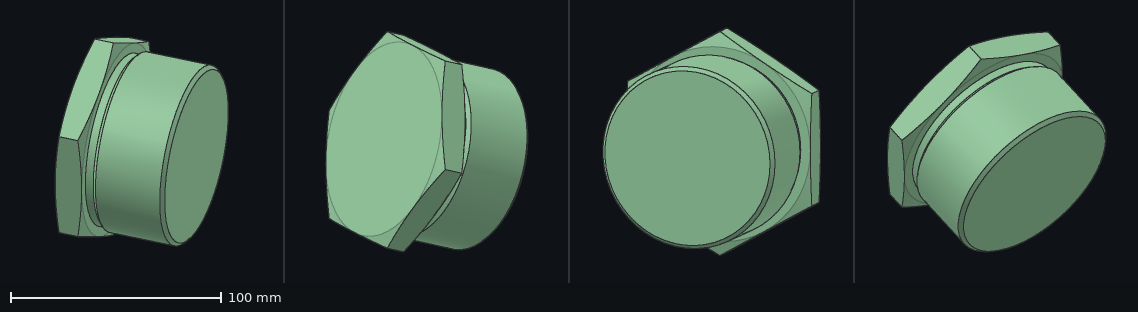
import cadquery as cq
import math

total_length = 54.0
corner_diameter = 108.5

head_thickness = 13.6
head_chamfer_angle = 15.0

shank_diameter = 87.9
shank_chamfer = 1.8
neck_length = 4.0
neck_diameter = shank_diameter - 2 * shank_chamfer

flat_diameter = corner_diameter * math.cos(math.pi / 6)


def make_head():
    """Hexagon prism with the corners of both faces turned down to a shallow cone."""
    prism = (
        cq.Workplane("YZ")
        .polygon(6, corner_diameter)
        .extrude(head_thickness)
        .rotate((0, 0, 0), (1, 0, 0), 90)
    )
    face_radius = flat_diameter / 2
    corner_radius = corner_diameter / 2
    corner_drop = (corner_radius - face_radius) * math.tan(math.radians(head_chamfer_angle))
    turned_envelope = (
        cq.Workplane("XY")
        .moveTo(0, 0)
        .lineTo(0, face_radius)
        .lineTo(corner_drop, corner_radius)
        .lineTo(head_thickness - corner_drop, corner_radius)
        .lineTo(head_thickness, face_radius)
        .lineTo(head_thickness, 0)
        .close()
        .revolve(360, (0, 0, 0), (1, 0, 0))
    )
    return prism.intersect(turned_envelope)


def make_neck():
    """Relief groove between the head and the shank."""
    return (
        cq.Workplane("YZ", origin=(head_thickness, 0, 0))
        .circle(neck_diameter / 2)
        .extrude(neck_length)
    )


def make_shank():
    """Solid cylinder with both end edges chamfered."""
    shank_start = head_thickness + neck_length
    return (
        cq.Workplane("YZ", origin=(shank_start, 0, 0))
        .circle(shank_diameter / 2)
        .extrude(total_length - shank_start)
        .faces("<X or >X")
        .edges()
        .chamfer(shank_chamfer)
    )


result = make_head().union(make_neck()).union(make_shank())